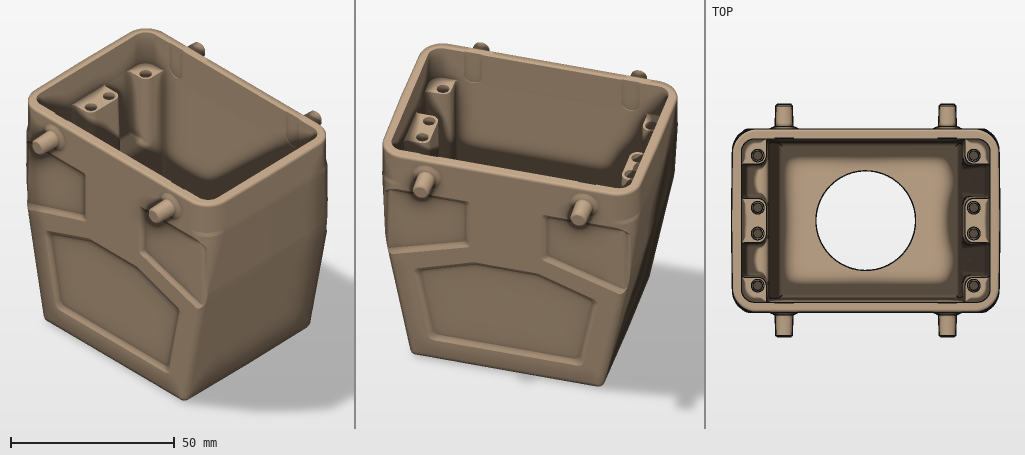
import cadquery as cq
import math

height = 79.0
half_length = 41.0
half_width = 28.0
end_bulge = 0.25
pin_span = 71.0

skirt_z = 67.7
waist_z = 43.9
waist_half_length = 38.8
base_half_length = 30.7
rim_corner_radius = 7.55
skirt_corner_radius = 6.65
body_corner_radius = 2.05
skirt_band = 1.4
waist_band = 2.4
base_edge_radius = 2.0
rim_edge_radius = 0.9

rim_wall = 3.0
rim_inner_radius = 4.1
boss_top_z = 67.2
floor_z = 3.3
cavity_draft = 1.2
floor_edge_radius = 1.0
core_corner_radius = 0.8
cable_hole_diameter = 30.3
cavity_half_width = half_width - rim_wall
left_floor_x = 26.2
right_floor_x = 28.2
left_foot_z = 19.7
right_foot_z = 9.0

boss_face_x = 30.3
boss_foot_x = 29.35
middle_boss_half = 6.7
corner_boss_y = 17.3
boss_corner_radius = 2.5
pocket_top_x = 38.0
pocket_bend_x = 36.25
left_pocket_z = 44.3
pocket_draft = 1.0
pocket_wall_radius = 1.1
pocket_floor_radius = 1.0
shoulder_radius = 2.5
screw_x = 33.0
screw_ys = (3.9, 19.85)
screw_diameter = 2.9
screw_mouth_diameter = 3.85
screw_mouth_depth = 4.9
screw_depth = 9.8

pin_x = 24.9
pin_z = 72.65
pin_tip_diameter = 5.1
pin_chamfer = 0.5
collar_diameter = 5.5
collar_end = 1.55
foot_diameter = 9.0
foot_length = 0.3
flare_diameter = 7.55
flare_length = 0.8
relief_width = 5.65
relief_depth = 0.25

recess_depth = 1.0
recess_side_angle = 60
recess_corner_radius = 4.5
recess_soft_radius = 2.5
label_top_x = 10.2
label_top_z = 42.0
label_side_x = 29.35
label_side_z = 35.1
label_base_x = 24.3
label_base_z = 8.0
grip_inner_x = 11.3
grip_inner_z = 47.7
grip_slope = 18.5
grip_outer_x = 45.9
grip_outer_z = grip_inner_z - (grip_outer_x - grip_inner_x) * math.tan(math.radians(grip_slope))
grip_top_z = 65.8
grip_low_brink_x = 37.5
grip_high_brink_x = 36.8
grip_fall_angle = 42.0

tall_edge = 20.5
level_edge = 0.01


def half_outline(level, half_x, corner):
    """The Y > 0 half of the plan at one height; the ends lean outwards towards Y = 0."""
    side_x = half_x - end_bulge
    corner_x = side_x - corner
    corner_y = half_width - corner
    bend = corner * math.sqrt(0.5)
    outline = (
        cq.Workplane("XY", origin=(0, 0, level))
        .moveTo(half_x, 0)
        .lineTo(side_x, corner_y)
        .threePointArc((corner_x + bend, corner_y + bend), (corner_x, half_width))
        .lineTo(-corner_x, half_width)
        .threePointArc((-corner_x - bend, corner_y + bend), (-side_x, corner_y))
        .lineTo(-half_x, 0)
        .close()
    )
    return outline.val()


def profile_prism(points):
    """Prism of an X-Z profile that spans the whole width of the part."""
    far_side = cq.Workplane("XZ", origin=(0, half_width, 0))
    return far_side.polyline(points).close().extrude(2 * half_width)


def round_edges(shape, radius, wanted):
    """Fillet the edges whose middle point and height pass the given test."""
    chosen = [edge for edge in shape.edges().vals() if wanted(edge.Center(), edge.BoundingBox().zlen)]
    return cq.Workplane(shape.val().fillet(radius, chosen))


def both_sides(shape):
    """Join a shape with its mirror image across the plane Y = 0."""
    return shape.union(shape.mirror("XZ"))


def body_levels():
    """Height, half length and corner radius of each plan; narrow bands soften both bends."""
    lower_slope = (waist_half_length - base_half_length) / waist_z
    upper_slope = (half_length - waist_half_length) / (skirt_z - waist_z)
    waist_low = waist_z - waist_band / 2
    waist_high = waist_z + waist_band / 2
    skirt_low = skirt_z - skirt_band / 2
    skirt_high = skirt_z + skirt_band / 2
    return [
        (0, base_half_length, body_corner_radius),
        (waist_low, waist_half_length - lower_slope * waist_band / 2, body_corner_radius),
        (waist_high, waist_half_length + upper_slope * waist_band / 2, body_corner_radius),
        (skirt_low, half_length - upper_slope * skirt_band / 2, skirt_corner_radius),
        (skirt_high, half_length, rim_corner_radius),
        (height, half_length, rim_corner_radius),
    ]


def make_body():
    """Solid hood; its corners sharpen from the rim radius to the body radius below the skirt."""
    wires = [half_outline(*level) for level in body_levels()]
    half = cq.Workplane(cq.Solid.makeLoft(wires, True))
    outer_edges = cq.selectors.BoxSelector((-49.2, 0.1, -0.8), (49.2, 49.2, height + 0.8))
    half = half.faces("<Z").edges(outer_edges).fillet(base_edge_radius)
    half = half.faces(">Z").edges(outer_edges).fillet(rim_edge_radius)
    return both_sides(half)


def drafted_block(center_y, width, draft):
    """Block below the boss tops whose Y faces draw in towards the floor; X is left oversize."""
    return (
        cq.Workplane("XY", origin=(0, 0, boss_top_z))
        .center(0, center_y)
        .rect(4 * half_length, width)
        .extrude(floor_z - boss_top_z, taper=draft)
    )


def make_core():
    """Deep middle of the cavity, between the left and right boss faces."""
    profile = profile_prism([
        (-boss_face_x, boss_top_z),
        (-boss_foot_x, left_foot_z),
        (-left_floor_x, floor_z),
        (right_floor_x, floor_z),
        (boss_foot_x, right_foot_z),
        (boss_face_x, boss_top_z),
    ])
    core = profile.intersect(drafted_block(0, 2 * cavity_half_width, cavity_draft))
    core = round_edges(core, core_corner_radius, lambda middle, rise: rise > tall_edge)
    return core.faces("<Z").edges().fillet(floor_edge_radius)


def make_pockets():
    """Spaces between the bosses: shallow on the left, following the end wall on the right."""
    left = profile_prism([
        (-pocket_top_x, boss_top_z),
        (-pocket_bend_x, left_pocket_z),
        (0, left_pocket_z),
        (0, boss_top_z),
    ])
    right = profile_prism([
        (pocket_top_x, boss_top_z),
        (pocket_bend_x, waist_z),
        (boss_foot_x, right_foot_z),
        (0, right_foot_z),
        (0, boss_top_z),
    ])
    pocket_width = corner_boss_y - middle_boss_half
    pocket_y = (corner_boss_y + middle_boss_half) / 2
    slots = drafted_block(pocket_y, pocket_width, pocket_draft)
    slots = slots.union(drafted_block(-pocket_y, pocket_width, pocket_draft))
    pockets = left.union(right).intersect(slots)
    return round_edges(
        pockets,
        pocket_wall_radius,
        lambda middle, rise: abs(middle.x) > boss_face_x and rise > tall_edge,
    )


def make_deep_cavity():
    """Core and pockets joined, with the boss corners and the left pocket floors rounded."""
    deep = make_core().union(make_pockets())
    deep = round_edges(
        deep,
        boss_corner_radius,
        lambda middle, rise: (
            rise > tall_edge
            and boss_foot_x < abs(middle.x) < boss_face_x
            and abs(middle.y) < cavity_half_width - rim_wall
        ),
    )
    deep = round_edges(
        deep,
        shoulder_radius,
        lambda middle, rise: (
            rise < level_edge
            and abs(middle.z - left_pocket_z) < level_edge
            and -boss_face_x < middle.x < -boss_foot_x
        ),
    )
    deep = round_edges(
        deep,
        pocket_floor_radius,
        lambda middle, rise: (
            rise < level_edge
            and abs(middle.z - left_pocket_z) < level_edge
            and middle.x < -boss_face_x
        ),
    )
    return deep


def make_cavity():
    """Deep cavity, wider rim opening above the bosses, and shallow reliefs behind the pins."""
    opening_height = height - boss_top_z
    rim_opening = (
        cq.Workplane("XY", origin=(0, 0, boss_top_z))
        .rect(2 * (half_length - rim_wall), 2 * cavity_half_width)
        .extrude(opening_height)
        .edges("|Z")
        .fillet(rim_inner_radius)
    )
    cavity = make_deep_cavity().union(rim_opening)
    relief_reach = cavity_half_width + relief_depth
    for x in (-pin_x, pin_x):
        relief = (
            cq.Workplane("XY", origin=(x, 0, boss_top_z))
            .rect(relief_width, 2 * relief_reach)
            .extrude(opening_height)
            .edges("|Y and <Z")
            .fillet(0.49 * relief_width)
        )
        cavity = cavity.union(relief)
    return cavity


def make_screw_holes():
    """Blind stepped screw holes in the boss tops."""
    spots = [(sx * screw_x, sy * y) for sx in (-1, 1) for sy in (-1, 1) for y in screw_ys]
    tops = cq.Workplane("XY", origin=(0, 0, boss_top_z)).pushPoints(spots)
    narrow = tops.circle(screw_diameter / 2).extrude(-screw_depth)
    wide = tops.circle(screw_mouth_diameter / 2).extrude(-screw_mouth_depth)
    return narrow.union(wide)


def make_pin():
    """Locking pin on the -Y wall: flared foot, tapering shank, chamfered tip."""
    root = half_width - rim_wall / 2
    tip = pin_span / 2
    tip_radius = pin_tip_diameter / 2
    collar_radius = collar_diameter / 2
    return (
        cq.Workplane("XY")
        .moveTo(0, -root)
        .lineTo(foot_diameter / 2, -root)
        .lineTo(foot_diameter / 2, -half_width)
        .lineTo(flare_diameter / 2, -half_width - foot_length)
        .lineTo(collar_radius, -half_width - flare_length)
        .lineTo(collar_radius, -half_width - collar_end)
        .lineTo(tip_radius, pin_chamfer - tip)
        .lineTo(tip_radius - pin_chamfer, -tip)
        .lineTo(0, -tip)
        .close()
        .revolve(360, (0, 0, 0), (0, 1, 0))
        .translate((0, 0, pin_z))
    )


def recess_tool(outline, depth):
    """Pocket in the -Y wall whose sides slope inwards from the given outline."""
    wall = cq.Workplane("XZ", origin=(0, -half_width, 0))
    return wall.polyline(outline).close().extrude(-depth, taper=recess_side_angle)


def make_label_recess():
    """Six-sided recess low on the wall, with all its corners rounded."""
    half_points = [
        (label_top_x, label_top_z),
        (label_side_x, label_side_z),
        (label_base_x, label_base_z),
    ]
    mid_depth_y = recess_depth / 2 - half_width
    mirrored = [(-x, z) for x, z in reversed(half_points)]
    tool = recess_tool(half_points + mirrored, recess_depth)
    tool = round_edges(
        tool,
        recess_corner_radius,
        lambda middle, rise: (
            abs(middle.y - mid_depth_y) < level_edge
            and abs(middle.x) > label_top_x
        ),
    )
    return round_edges(
        tool,
        recess_soft_radius,
        lambda middle, rise: (
            abs(middle.y - mid_depth_y) < level_edge
            and 0 < abs(middle.x) < label_top_x
            and middle.z > label_side_z
        ),
    )


def grip_section(level, brink_x):
    """Plan of the grip recess: level floor, then a slope that falls away past the brink."""
    floor_y = recess_depth - half_width
    fall = (grip_outer_x - brink_x) * math.tan(math.radians(grip_fall_angle))
    section = (
        cq.Workplane("XY", origin=(0, 0, level))
        .moveTo(0, -half_width)
        .lineTo(0, floor_y)
        .lineTo(brink_x, floor_y)
        .lineTo(grip_outer_x, floor_y + fall)
        .lineTo(grip_outer_x, -half_width)
        .close()
    )
    return section.val()


def make_grip_recess():
    """Recess high on the wall that runs out into the rounded body corner."""
    sides = recess_tool(
        [
            (grip_inner_x, grip_top_z),
            (grip_outer_x, grip_top_z),
            (grip_outer_x, grip_outer_z),
            (grip_inner_x, grip_inner_z),
        ],
        2 * recess_depth,
    )
    sides = round_edges(
        sides,
        recess_soft_radius,
        lambda middle, rise: (
            abs(middle.y + half_width - recess_depth) < level_edge
            and middle.x < grip_high_brink_x / 2
            and rise < grip_top_z - grip_inner_z - 2 * recess_depth
        ),
    )
    floor = cq.Solid.makeLoft(
        [grip_section(grip_outer_z, grip_low_brink_x), grip_section(grip_top_z, grip_high_brink_x)],
        True,
    )
    return sides.intersect(cq.Workplane(floor))


body = make_body().cut(make_cavity())
body = body.cut(cq.Workplane("XY").circle(cable_hole_diameter / 2).extrude(2 * floor_z))

grip = make_grip_recess()
for recess in (make_label_recess(), grip, grip.mirror("YZ")):
    body = body.cut(both_sides(recess))

pin = make_pin()
for x in (-pin_x, pin_x):
    body = body.union(both_sides(pin.translate((x, 0, 0))))

result = body.cut(make_screw_holes())